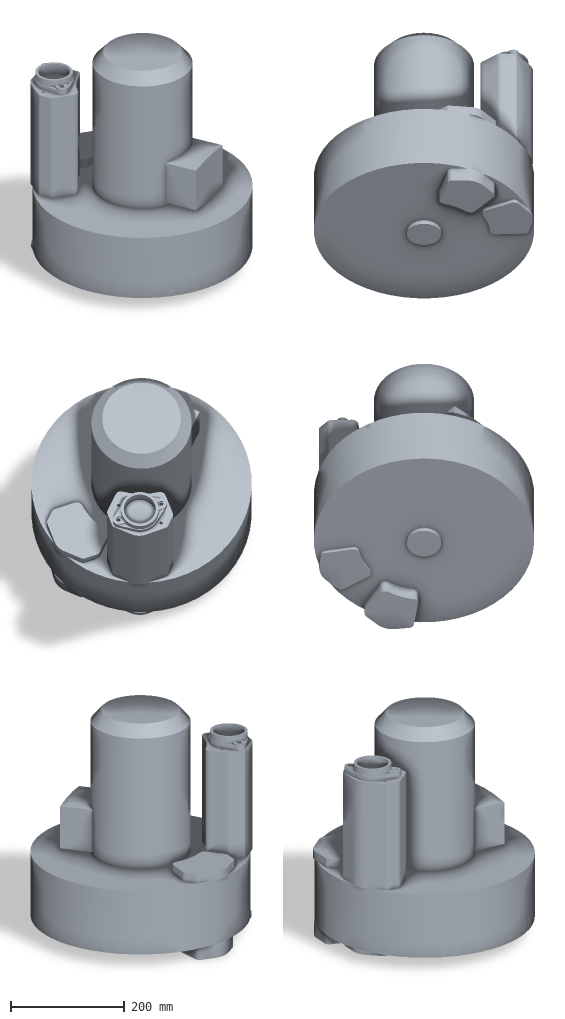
import cadquery as cq
import math

DRUM_RADIUS = 195.0
DRUM_HEIGHT = 121.2

MOTOR_RADIUS = 88.7
MOTOR_TOP = 390.0
MOTOR_CAP_RADIUS = 69.5
MOTOR_CAP_HEIGHT = 21.2

BOX_REACH = 132.5
BOX_WIDTH = 105.0
BOX_CROWN = 3.5
BOX_BOTTOM = 126.0
BOX_TOP = 212.0

BOSS_RADIUS = 30.5
BOSS_DEPTH = 8.5

CLEARANCE_RADIUS = 117.0
CORNER_RADIUS = 10.0
TOWER_TOP = 323.5
COVER_THICKNESS = 17.0
DEEP_FOOT = 26.5
SHALLOW_FOOT = 6.5

UPPER_CORNERS = [
    (-185.5, 28.7, 6.0),
    (-185.5, 79.0, 31.5),
    (-146.2, 117.5, 6.5),
    (-120.0, 117.5, CORNER_RADIUS),
    (-79.0, 76.5, 0),
    (-100.0, 7.5, 0),
    (-164.0, 7.5, CORNER_RADIUS),
]
UPPER_CLEARANCE_CORNERS = [(-84.0, 81.5, 11.2), (-116.5, 7.5, CORNER_RADIUS)]
FOOT_CORNERS = [
    (-184.0, 28.0, CORNER_RADIUS),
    (-184.0, 82.0, 40.0),
    (-145.0, 113.7, CORNER_RADIUS),
    (-79.0, 66.2, 0),
    (-100.0, 9.0, 0),
]
FOOT_CLEARANCE_CORNERS = [(-91.2, 73.5, CORNER_RADIUS), (-116.2, 13.0, CORNER_RADIUS)]

FLANGE_X = -143.7
FLANGE_Y = -62.5
FLANGE_RADIUS = 34.5
PLATE_TOP = 332.5
RING_TOP = 345.5
RING_RADIUS = 33.5
BORE_RADIUS = 28.5

LUG_ANGLE = -43
LUG_DISTANCE = 40.5
LUG_RADIUS = 10.5
LUG_TOP = 335.8
SLOT_WIDTH = 9.0
SLOT_INNER_END = 33.0
SLOT_OUTER_END = 46.0
BOLT_HOLE_RADIUS = 3.5

PIN_HOLE_DISTANCE = 41.2
PIN_HOLE_RADIUS = 3.0
PIN_HOLE_DEPTH = 8.5


def cylinder(radius, bottom, top, x=0, y=0):
    return cq.Workplane("XY", origin=(x, y, bottom)).circle(radius).extrude(top - bottom)


def port_block(corners, clearance_corners, bottom, top):
    """Rounded block on the +Y side, hollowed by a clearance circle about the motor axis."""
    outline = [(x, y) for x, y, _ in corners]
    block = cq.Workplane("XY").workplane(offset=bottom).polyline(outline).close().extrude(top - bottom)
    block = block.cut(cylinder(CLEARANCE_RADIUS, bottom, top))
    fillets = [corner for corner in corners if corner[2] > 0] + clearance_corners
    middle = (bottom + top) / 2
    for x, y, radius in fillets:
        block = block.edges(cq.NearestToPointSelector((x, y, middle))).fillet(radius)
    return block


def upper_block(top):
    return port_block(UPPER_CORNERS, UPPER_CLEARANCE_CORNERS, DRUM_HEIGHT, top)


def foot_block(depth):
    return port_block(FOOT_CORNERS, FOOT_CLEARANCE_CORNERS, -depth, 0)


def lug_plate(hub_radius, height):
    """Plate tapering from a hub out to a round lug on either side."""
    angle = math.acos((hub_radius - LUG_RADIUS) / LUG_DISTANCE)
    hub_x = hub_radius * math.cos(angle)
    hub_y = hub_radius * math.sin(angle)
    end_x = LUG_DISTANCE + LUG_RADIUS * math.cos(angle)
    end_y = LUG_RADIUS * math.sin(angle)
    tip = LUG_DISTANCE + LUG_RADIUS
    return (
        cq.Workplane("XY")
        .moveTo(hub_x, hub_y)
        .lineTo(end_x, end_y)
        .threePointArc((tip, 0), (end_x, -end_y))
        .lineTo(hub_x, -hub_y)
        .threePointArc((0, -hub_radius), (-hub_x, -hub_y))
        .lineTo(-end_x, -end_y)
        .threePointArc((-tip, 0), (-end_x, end_y))
        .lineTo(-hub_x, hub_y)
        .threePointArc((0, hub_radius), (hub_x, hub_y))
        .close()
        .extrude(height)
    )


def pipe_flange():
    """Bored ring on a two-lug plate, with a bolt slot and a bolt hole in each lug."""
    ring_height = RING_TOP - TOWER_TOP
    lug_height = LUG_TOP - TOWER_TOP
    plate_height = PLATE_TOP - TOWER_TOP
    slot_length = SLOT_OUTER_END - SLOT_INNER_END
    slot_middle = (SLOT_INNER_END + SLOT_OUTER_END) / 2
    bolt_distance = SLOT_OUTER_END - SLOT_WIDTH / 2
    lug_span = 2 * (LUG_DISTANCE + LUG_RADIUS)

    lugs = cq.Workplane("XY").slot2D(lug_span, 2 * LUG_RADIUS).extrude(lug_height)
    flange = lug_plate(FLANGE_RADIUS, plate_height).union(lugs).union(cylinder(RING_RADIUS, 0, ring_height))
    flange = flange.cut(cylinder(BORE_RADIUS, 0, ring_height))
    for side in (-1, 1):
        slot = (
            cq.Workplane("XY", origin=(side * slot_middle, 0, plate_height))
            .slot2D(slot_length, SLOT_WIDTH)
            .extrude(ring_height - plate_height)
        )
        flange = flange.cut(slot)
        flange = flange.cut(cylinder(BOLT_HOLE_RADIUS, 0, plate_height, side * bolt_distance))
    flange = flange.rotate((0, 0, 0), (0, 0, 1), LUG_ANGLE)
    return flange.translate((FLANGE_X, FLANGE_Y, TOWER_TOP))


def tower():
    """Tall port block on the -Y side with its pin holes and pipe flange."""
    body = upper_block(TOWER_TOP).mirror("XZ")
    for side in (-1, 1):
        hole_y = FLANGE_Y + side * PIN_HOLE_DISTANCE
        body = body.cut(cylinder(PIN_HOLE_RADIUS, TOWER_TOP - PIN_HOLE_DEPTH, TOWER_TOP, FLANGE_X, hole_y))
    return body.union(pipe_flange())


def terminal_box():
    """Box with its top and bottom faces bowed outwards across its width."""
    half_width = BOX_WIDTH / 2
    low_edge = BOX_BOTTOM + BOX_CROWN
    high_edge = BOX_TOP - BOX_CROWN
    return (
        cq.Workplane("YZ")
        .moveTo(-half_width, low_edge)
        .threePointArc((0, BOX_BOTTOM), (half_width, low_edge))
        .lineTo(half_width, high_edge)
        .threePointArc((0, BOX_TOP), (-half_width, high_edge))
        .close()
        .extrude(BOX_REACH)
    )


drum = cylinder(DRUM_RADIUS, 0, DRUM_HEIGHT)
motor = cylinder(MOTOR_RADIUS, DRUM_HEIGHT, MOTOR_TOP)
motor = motor.faces(">Z").chamfer(MOTOR_CAP_HEIGHT, MOTOR_RADIUS - MOTOR_CAP_RADIUS)
boss = cylinder(BOSS_RADIUS, -BOSS_DEPTH, 0)

result = drum.union(motor).union(terminal_box()).union(boss)
result = result.union(upper_block(DRUM_HEIGHT + COVER_THICKNESS))
result = result.union(tower())
result = result.union(foot_block(DEEP_FOOT))
result = result.union(foot_block(SHALLOW_FOOT).mirror("XZ"))